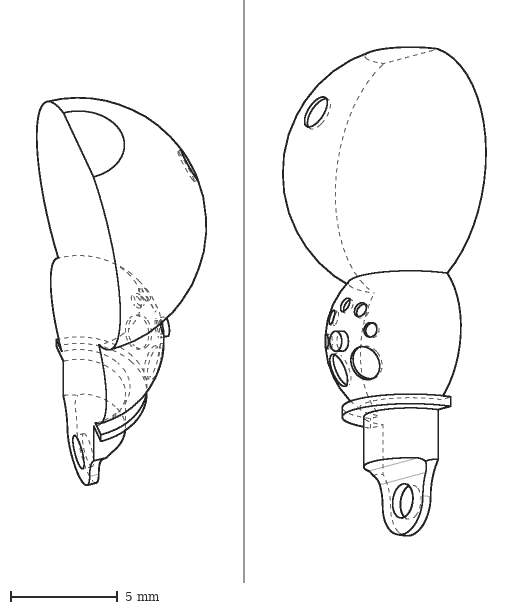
import cadquery as cq
import math

tab_end_radius = 1.6
tab_hole_diameter = 1.6
tab_thickness = 0.45
tab_fillet = 0.6

stem_radius = 2.2
stem_bottom = 3.27
flange_radius = 3.2
flange_bottom = 5.65
flange_thickness = 0.45
flange_top = flange_bottom + flange_thickness

total_height = 22.88
body_radius = 6.0
body_flat_radius = 2.15
body_center = total_height - math.sqrt(body_radius**2 - body_flat_radius**2)
head_radius = 4.0
head_center = 9.31

button_diameter = 1.6
button_elevation = 22.6
eye_diameter = 1.6
eye_offset_x = 1.08
eye_offset_z = -1.7
recess_depth = 0.18
nose_diameter = 0.94
nose_offset_z = -0.5
nose_tip_radius = 4.37
mouth_dot_diameter = 0.69
mouth_radius = 1.76
mouth_dot_angles = [10, 50, 90, 130, 170]


def half_ball(radius, center_z):
    """Half ball on the +Y side of the flat back."""
    ball = cq.Workplane("XY").sphere(radius)
    back_half = cq.Workplane("XY").box(2 * radius, radius, 2 * radius, centered=(True, False, True))
    return ball.intersect(back_half).translate((0, 0, center_z))


def half_disc(radius, bottom, height):
    """Upright half cylinder on the +Y side of the flat back."""
    return (
        cq.Workplane("XY", origin=(0, 0, bottom))
        .moveTo(-radius, 0)
        .threePointArc((0, radius), (radius, 0))
        .close()
        .extrude(height)
    )


def radial_pin(center_z, direction, diameter, start, end):
    """Cylinder along a ray from a ball centre, between two distances."""
    ray = cq.Vector(*direction).normalized()
    origin = cq.Vector(0, 0, center_z) + ray * start
    pin = cq.Solid.makeCylinder(diameter / 2, end - start, origin, ray)
    return cq.Workplane(obj=pin)


def radial_recess(ball_radius, center_z, direction, diameter):
    """Cutter for a flat-bottomed recess, its depth measured from the rim."""
    rim_distance = math.sqrt(ball_radius**2 - (diameter / 2) ** 2)
    floor_distance = rim_distance - recess_depth
    return radial_pin(center_z, direction, diameter, floor_distance, ball_radius + recess_depth)


def head_direction(x, z):
    """Direction from the head centre to the surface point at offsets x and z."""
    return x, math.sqrt(head_radius**2 - x**2 - z**2), z


def hanging_tab():
    """Flared plate with a rounded end, filleted into the stem's bottom face."""
    flare_width = stem_radius - tab_end_radius
    flare_height = stem_bottom - tab_end_radius
    flare_radius = (flare_width**2 + flare_height**2) / (2 * flare_width)
    flare_mid_angle = math.asin(flare_height / flare_radius) / 2
    mid_x = tab_end_radius + flare_radius * (1 - math.cos(flare_mid_angle))
    mid_z = tab_end_radius + flare_radius * math.sin(flare_mid_angle)
    outline = (
        cq.Workplane("XZ")
        .moveTo(-stem_radius, stem_bottom)
        .threePointArc((-mid_x, mid_z), (-tab_end_radius, tab_end_radius))
        .threePointArc((0, 0), (tab_end_radius, tab_end_radius))
        .threePointArc((mid_x, mid_z), (stem_radius, stem_bottom))
        .close()
        .extrude(-stem_radius)
    )
    fillet_end = tab_thickness + tab_fillet
    fillet_start = stem_bottom - tab_fillet
    fillet_mid = tab_fillet * (1 - math.sqrt(0.5))
    side_profile = (
        cq.Workplane("YZ")
        .lineTo(tab_thickness, 0)
        .lineTo(tab_thickness, fillet_start)
        .threePointArc((tab_thickness + fillet_mid, stem_bottom - fillet_mid), (fillet_end, stem_bottom))
        .lineTo(0, stem_bottom)
        .close()
        .extrude(stem_radius, both=True)
    )
    stem_envelope = half_disc(stem_radius, 0, stem_bottom)
    hole = (
        cq.Workplane("XZ", origin=(0, 0, tab_end_radius))
        .circle(tab_hole_diameter / 2)
        .extrude(-stem_radius)
    )
    return outline.intersect(side_profile).intersect(stem_envelope).cut(hole)


body = half_ball(body_radius, body_center)
end_trim = cq.Workplane("XY", origin=(0, 0, total_height)).rect(
    2 * body_radius, 2 * body_radius
).extrude(body_radius)
body = body.cut(end_trim)

head = half_ball(head_radius, head_center)
neck_trim = cq.Workplane("XY", origin=(0, 0, flange_top)).rect(
    2 * head_radius, 2 * head_radius
).extrude(-head_radius)
head = head.cut(neck_trim)

flange = half_disc(flange_radius, flange_bottom, flange_thickness)
stem = half_disc(stem_radius, stem_bottom, flange_top - stem_bottom)
result = body.union(head).union(flange).union(stem).union(hanging_tab())

nose_direction = head_direction(0, nose_offset_z)
nose_root_radius = head_radius - nose_diameter / 2
nose = radial_pin(head_center, nose_direction, nose_diameter, nose_root_radius, nose_tip_radius)
result = result.union(nose)

button_angle = math.radians(button_elevation)
button_direction = (0, math.cos(button_angle), math.sin(button_angle))
result = result.cut(radial_recess(body_radius, body_center, button_direction, button_diameter))

for side in (-1, 1):
    eye_direction = head_direction(side * eye_offset_x, eye_offset_z)
    result = result.cut(radial_recess(head_radius, head_center, eye_direction, eye_diameter))

for angle in mouth_dot_angles:
    dot_x = mouth_radius * math.cos(math.radians(angle))
    dot_z = nose_offset_z + mouth_radius * math.sin(math.radians(angle))
    dot_direction = head_direction(dot_x, dot_z)
    result = result.cut(radial_recess(head_radius, head_center, dot_direction, mouth_dot_diameter))